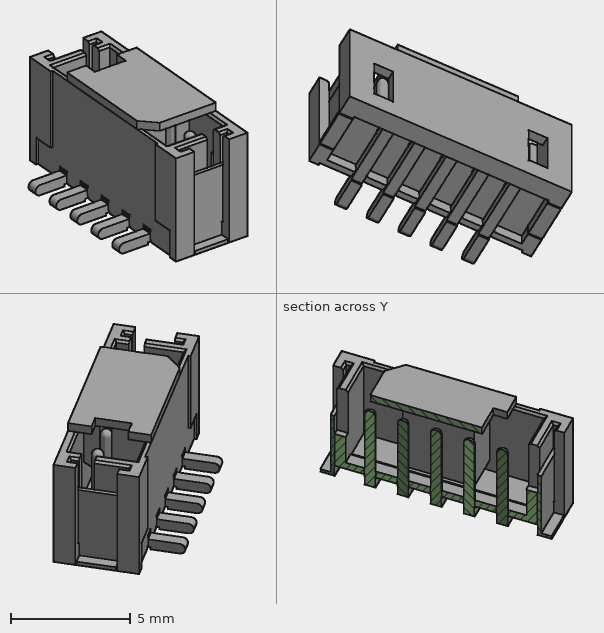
import cadquery as cq


length = 10.5
depth = 3.7
height = 5.0
half_length = length / 2
end_sides = (-1, 1)

front_step = 0.1
post_width = 1.5
post_foot_width = 0.45
post_shoulder_z = 1.3

cavity_half_length = 4.1
cavity_front = 0.39
cavity_back = 3.29
cavity_length = 2 * cavity_half_length
mouth_chamfer = 0.1
back_floor_z = 1.0
front_floor_z = 0.91
floor_ramp_front = 1.69
floor_ramp_back = 1.83

window_width = 0.89
window_top = 3.22

tab_thickness = 0.19
tab_inset = 0.46
tab_width = 2.5
tab_top = 3.55
tab_shoulder_z = 0.8
foot_width = 1.7
end_opening_width = 1.81
tab_y = depth / 2
slot_inner_inset = tab_inset + tab_thickness

side_notch_width = 0.66
side_notch_back = tab_y + end_opening_width / 2
side_notch_bottom = 2.5

pin_count = 5
pin_pitch = 1.5
pin_diameter = 0.5
pin_radius = pin_diameter / 2
pin_y = 2.34
pin_top = 4.45
pin_block_back = 2.86
leg_drop = 0.1
leg_reach = 1.5
pin_xs = [pin_pitch * (i - (pin_count - 1) / 2) for i in range(pin_count)]

recess_top = 0.6
outlet_fillet = 0.17

cap_left = -2.72
cap_right = 2.98
cap_thickness = 0.4
cap_notch_depth = 0.63
cap_notch_back = depth - 1.02
cap_notch_front = depth - 2.6
cap_corner_chamfer = 0.69

latch_half_length = 1.63
latch_front = 2.6
latch_barb_depth = 0.38
latch_barb_top = 2.72
latch_barb_bottom = 2.5
latch_bottom = 1.5
front_block_back = 2.08


def box(x_range, y_range, z_range):
    """Box between the given limits, in any order along X."""
    x0, x1 = sorted(x_range)
    y0, y1 = y_range
    z0, z1 = z_range
    return cq.Workplane("XY").box(x1 - x0, y1 - y0, z1 - z0, centered=False).translate((x0, y0, z0))


def centered_box(x_range, y_width, z_range):
    """Box between X and Z limits, centred on the tabs along Y."""
    return box(x_range, (tab_y - y_width / 2, tab_y + y_width / 2), z_range)


def extrude_along_x(points, x_width):
    """Closed YZ outline extruded to both sides of X = 0."""
    return cq.Workplane("YZ").polyline(points).close().extrude(x_width / 2, both=True)


def chamfered_mouth(x_range, y_range):
    """Tapered cutter that widens a pocket of the given outline at the top face."""
    x0, x1 = sorted(x_range)
    y0, y1 = y_range
    return (
        cq.Workplane("XY", origin=((x0 + x1) / 2, (y0 + y1) / 2, height))
        .rect(x1 - x0 + 2 * mouth_chamfer, y1 - y0 + 2 * mouth_chamfer)
        .workplane(offset=-mouth_chamfer)
        .rect(x1 - x0, y1 - y0)
        .loft()
    )


def housing_block():
    """Outer block with a front face set back between the two end posts."""
    block = box((-half_length, half_length), (0, depth), (0, height))
    post_inner = half_length - post_width
    foot_inner = half_length - post_foot_width
    upper = box((-post_inner, post_inner), (0, front_step), (post_shoulder_z, height))
    lower = box((-foot_inner, foot_inner), (0, front_step), (0, post_shoulder_z))
    return block.cut(upper).cut(lower)


def cavity_cutter():
    """Cavity with a short ramp from the back floor down to the lower front floor."""
    outline = [
        (cavity_front, front_floor_z),
        (floor_ramp_front, front_floor_z),
        (floor_ramp_back, back_floor_z),
        (cavity_back, back_floor_z),
        (cavity_back, height),
        (cavity_front, height),
    ]
    mouth = chamfered_mouth((-cavity_half_length, cavity_half_length), (cavity_front, cavity_back))
    return extrude_along_x(outline, cavity_length).union(mouth)


def end_cutter(side):
    """Tab slot, end opening, side notch and back window at one end."""
    end_x = side * half_length
    slot_outer_x = side * (half_length - tab_inset)
    slot_inner_x = side * (half_length - slot_inner_inset)
    cavity_x = side * cavity_half_length
    slot_x = (slot_outer_x, slot_inner_x)
    slot = centered_box(slot_x, tab_width, (tab_shoulder_z, height))
    mouth = chamfered_mouth(slot_x, (tab_y - tab_width / 2, tab_y + tab_width / 2))
    opening = centered_box((end_x, slot_outer_x), end_opening_width, (0, height))
    lower_slot = centered_box(slot_x, end_opening_width, (0, tab_shoulder_z))
    notch_y = (side_notch_back - side_notch_width, side_notch_back)
    notch = box((slot_inner_x, cavity_x), notch_y, (side_notch_bottom, height))
    window_x = (cavity_x, cavity_x - side * window_width)
    window = box(window_x, (cavity_back, depth), (back_floor_z, window_top))
    return slot.union(mouth).union(opening).union(lower_slot).union(notch).union(window)


def make_housing():
    body = housing_block().cut(cavity_cutter())
    for side in end_sides:
        body = body.cut(end_cutter(side))

    recess_end = half_length - slot_inner_inset
    body = body.cut(box((-recess_end, recess_end), (cavity_front, pin_block_back), (0, recess_top)))

    for x in pin_xs:
        outlet_x = (x - pin_radius, x + pin_radius)
        body = body.cut(box(outlet_x, (front_step, cavity_front), (0, recess_top)))
        hole = cq.Workplane("XY", origin=(x, pin_y, 0)).circle(pin_radius).extrude(height)
        body = body.cut(hole)

        flare = pin_radius + outlet_fillet
        mouth = (
            cq.Workplane("XZ", origin=(x, front_step, 0))
            .moveTo(-flare, 0)
            .radiusArc((-pin_radius, outlet_fillet), -outlet_fillet)
            .lineTo(pin_radius, outlet_fillet)
            .radiusArc((flare, 0), -outlet_fillet)
            .close()
            .extrude(front_step - cavity_front)
        )
        body = body.cut(mouth)
    return body


def make_pin(x):
    """Round domed post on a square block, with a round-ended leg stepped down to the front."""
    block_top = pin_diameter
    leg_top = pin_diameter - leg_drop
    tip_center_y = pin_radius - leg_reach
    base = (
        cq.Workplane("YZ")
        .moveTo(pin_block_back, 0)
        .lineTo(pin_block_back, block_top)
        .lineTo(front_step, block_top)
        .lineTo(front_step, leg_top)
        .lineTo(tip_center_y, leg_top)
        .threePointArc((-leg_reach, leg_top - pin_radius), (tip_center_y, -leg_drop))
        .lineTo(0, -leg_drop)
        .lineTo(0, 0)
        .close()
        .extrude(pin_radius, both=True)
    )
    dome_z = pin_top - pin_radius
    post = cq.Workplane("XY", origin=(0, pin_y, 0)).circle(pin_radius).extrude(dome_z)
    dome = cq.Workplane("XY", origin=(0, pin_y, dome_z)).sphere(pin_radius)
    return base.union(post).union(dome).translate((x, 0, 0))


def make_tab(side):
    """Upright plate that narrows at the bottom and bends out into a flat foot."""
    end_x = side * half_length
    plate_outer_x = side * (half_length - tab_inset)
    plate_x = (plate_outer_x, side * (half_length - slot_inner_inset))
    plate = centered_box(plate_x, tab_width, (tab_shoulder_z, tab_top))
    neck = centered_box(plate_x, foot_width, (0, tab_shoulder_z))
    foot = centered_box((end_x, plate_outer_x), foot_width, (0, tab_thickness))
    return plate.union(neck).union(foot)


def make_cap():
    """Flat cover with a notch, one cut corner, and a barbed latch and a plain block underneath."""
    notch_x = cap_left + cap_notch_depth
    plate = (
        cq.Workplane("XY", origin=(0, 0, height))
        .moveTo(cap_left, front_step)
        .lineTo(cap_right - cap_corner_chamfer, front_step)
        .lineTo(cap_right, front_step + cap_corner_chamfer)
        .lineTo(cap_right, depth)
        .lineTo(cap_left, depth)
        .lineTo(cap_left, cap_notch_back)
        .lineTo(notch_x, cap_notch_back)
        .lineTo(notch_x, cap_notch_front)
        .lineTo(cap_left, cap_notch_front)
        .close()
        .extrude(cap_thickness)
    )
    latch_stem_back = cavity_back - latch_barb_depth
    latch_outline = [
        (latch_front, height),
        (cavity_back, height),
        (cavity_back, latch_barb_top),
        (latch_stem_back, latch_barb_bottom),
        (latch_stem_back, latch_bottom),
        (latch_front, latch_bottom),
    ]
    latch = extrude_along_x(latch_outline, 2 * latch_half_length)
    front_block = box(
        (-latch_half_length, latch_half_length),
        (cavity_front, front_block_back),
        (latch_bottom, height),
    )
    return plate.union(latch).union(front_block)


housing = make_housing()
cap = make_cap()
pins = [make_pin(x) for x in pin_xs]
tabs = [make_tab(side) for side in end_sides]

result = cq.Compound.makeCompound(
    [
        housing.solids().val(),
        cap.solids().val(),
        *[pin.solids().val() for pin in pins],
        *[tab.solids().val() for tab in tabs],
    ]
)